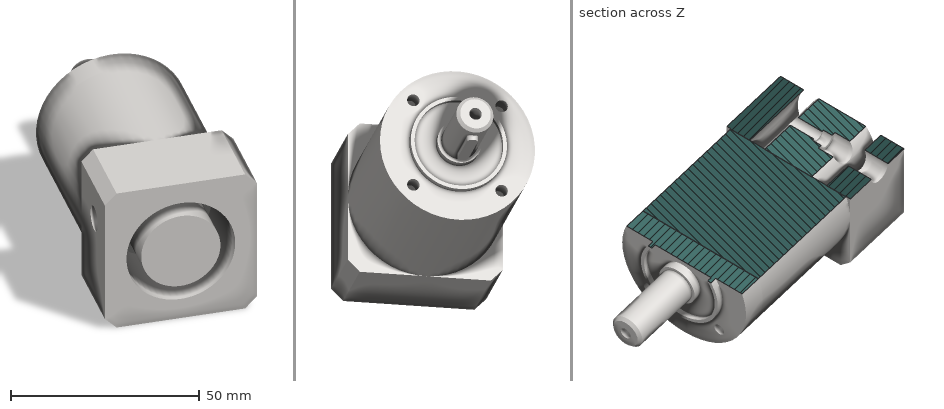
import cadquery as cq
import math

body_size = 42.0

collar_start = 22.0
pilot_start = 23.0
flange_start = 25.0
ring_start = 32.2
adapter_start = 69.6
total_length = 92.7

shaft_diameter = 10.0
shaft_chamfer = 0.88
collar_diameter = 12.0
pilot_diameter = 26.05
recess_diameter = 24.0
recess_depth = 1.5

drill_diameter = 3.3
drill_point_angle = 118.0
center_hole_depth = 7.4
mount_hole_depth = 5.0
mount_hole_offset = 12.0

key_start = 3.0
key_length = 16.0
key_width = 3.0
key_height = 6.3

adapter_corner_chamfer = 3.2
adapter_bore_diameter = 30.0

hub_diameter = 21.9
hub_seat_y = -3.0
hub_split_y = 0.0

screw_x = 82.2
screw_z = 7.4
access_hole_diameter = 7.0
clearance_diameter = 4.5
tap_diameter = 3.3


def disc(diameter, start, end):
    """Cylinder on the X axis between two stations."""
    return cq.Workplane("YZ", origin=(start, 0, 0)).circle(diameter / 2).extrude(end - start)


def drilled_hole(depth, start, y=0.0, z=0.0):
    """Blind hole along +X with a conical drill point."""
    radius = drill_diameter / 2
    point_length = radius / math.tan(math.radians(drill_point_angle / 2))
    profile = [(0, 0), (0, radius), (depth, radius), (depth + point_length, 0)]
    hole = cq.Workplane("XY").polyline(profile).close().revolve(360, (0, 0, 0), (1, 0, 0))
    return hole.translate((start, y, z))


def screw_bore(diameter, y_start, y_end):
    """Cylinder on the clamp screw line between two Y positions."""
    plane = cq.Plane(origin=(screw_x, y_start, screw_z), xDir=(1, 0, 0), normal=(0, 1, 0))
    return cq.Workplane(plane).circle(diameter / 2).extrude(y_end - y_start)


def make_key():
    """Key shape from the shaft axis down, to be joined to the shaft."""
    key_center = key_start + key_length / 2
    return (
        cq.Workplane("XY", origin=(key_center, 0, -key_height))
        .slot2D(key_length, key_width)
        .extrude(key_height)
    )


def make_output_unit():
    """Flange with its recessed pilot, and the keyed shaft rising from the recess."""
    flange = disc(body_size, flange_start, ring_start)
    pilot = disc(pilot_diameter, pilot_start, flange_start)
    recess = disc(recess_diameter, pilot_start, pilot_start + recess_depth)
    collar = disc(collar_diameter, collar_start, flange_start)
    shaft = disc(shaft_diameter, 0, flange_start).faces("<X").chamfer(shaft_chamfer)

    unit = flange.union(pilot).cut(recess).union(collar).union(shaft).union(make_key())
    unit = unit.cut(drilled_hole(center_hole_depth, 0))
    for y in (-mount_hole_offset, mount_hole_offset):
        for z in (-mount_hole_offset, mount_hole_offset):
            unit = unit.cut(drilled_hole(mount_hole_depth, flange_start, y, z))
    return unit


def make_ring_housing():
    """Plain round gear housing between the flange and the adapter."""
    return disc(body_size, ring_start, adapter_start)


def make_adapter():
    """Square block with a through bore for the hub and an access hole for the clamp screw."""
    block = (
        cq.Workplane("YZ", origin=(adapter_start, 0, 0))
        .rect(body_size, body_size)
        .extrude(total_length - adapter_start)
        .edges("|X")
        .chamfer(adapter_corner_chamfer)
    )
    block = block.cut(disc(adapter_bore_diameter, adapter_start, total_length))
    return block.cut(screw_bore(access_hole_diameter, -body_size / 2, 0))


def make_hub():
    """Round hub crossed by the stepped clamp screw hole."""
    hub_radius = hub_diameter / 2
    hub = disc(hub_diameter, adapter_start, total_length)
    hub = hub.cut(screw_bore(access_hole_diameter, -hub_radius, hub_seat_y))
    hub = hub.cut(screw_bore(clearance_diameter, hub_seat_y, hub_split_y))
    return hub.cut(screw_bore(tap_diameter, hub_split_y, hub_radius))


output_unit = make_output_unit()
ring_housing = make_ring_housing()
adapter = make_adapter()
hub = make_hub()

result = cq.Compound.makeCompound(
    [output_unit.val(), ring_housing.val(), adapter.val(), hub.val()]
)